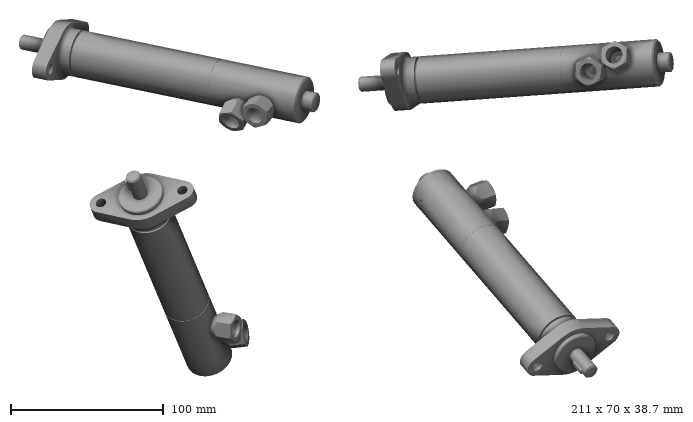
import cadquery as cq
import math


pilot_start = 19.8
flange_start = 23.0
flange_thickness = 10.0
flange_end = flange_start + flange_thickness
groove_start = 40.7
groove_width = 1.5
seam_start = 140.0
seam_width = 0.6
body_end = 202.9
overall_length = 211.0

shaft_diameter = 10.0
shaft_chamfer = 0.95
pilot_diameter = 30.0
pilot_chamfer = 0.6
body_diameter = 31.0
body_chamfer = 1.0
flange_fillet = 2.5
groove_diameter = 26.8
seam_depth = 0.2
stub_diameter = 13.0
stub_chamfer = 0.8

key_start = 3.5
key_length = 10.0
key_width = 3.0
key_top = 6.1

flange_width = 70.0
flange_centre_radius = 19.0
flange_ear_radius = 7.5
flange_hole_diameter = 7.0
ear_offset = flange_width / 2 - flange_ear_radius

fittings = [(162.3, 21.2, 20.0), (180.3, 2.5, 27.0)]
hex_sides = 6
hex_across_flats = 16.9
fitting_reach = 30.5
fitting_root = 12.7
fitting_cone_height = 18.2
fitting_cone_angle = 30.0
face_chamfer_angle = 30.0
fitting_bore_diameter = 11.5
fitting_bore_end = 17.3
fitting_throat_diameter = 6.3
fitting_throat_start = 15.8

vent_diameter = 2.7
vent_position = 191.7
vent_depth = 2.1
vent_angle = 14.0


def bar(start, end, diameter):
    """Round bar along the main axis."""
    return cq.Workplane("YZ", origin=(start, 0, 0)).circle(diameter / 2).extrude(end - start)


def ring_cut(start, width, floor_diameter):
    """Ring that cuts a square groove into the body."""
    profile = cq.Workplane("YZ", origin=(start, 0, 0)).circle(body_diameter).circle(floor_diameter / 2)
    return profile.extrude(width)


def make_shaft():
    shaft = bar(0, flange_start, shaft_diameter).faces("<X").chamfer(shaft_chamfer)
    key = (
        cq.Workplane("XY", origin=(key_start, 0, -key_width / 2))
        .rect(key_length, key_top, centered=False)
        .extrude(key_width)
    )
    return shaft.union(key)


def make_flange():
    """Rhombic flange: a large centre arc joined by tangent lines to an ear on each side."""
    lean = math.asin((flange_centre_radius - flange_ear_radius) / ear_offset)
    centre_y = flange_centre_radius * math.sin(lean)
    centre_z = flange_centre_radius * math.cos(lean)
    ear_y = ear_offset + flange_ear_radius * math.sin(lean)
    ear_z = flange_ear_radius * math.cos(lean)
    return (
        cq.Workplane("YZ", origin=(flange_start, 0, 0))
        .moveTo(-centre_y, centre_z)
        .threePointArc((0, flange_centre_radius), (centre_y, centre_z))
        .lineTo(ear_y, ear_z)
        .threePointArc((flange_width / 2, 0), (ear_y, -ear_z))
        .lineTo(centre_y, -centre_z)
        .threePointArc((0, -flange_centre_radius), (-centre_y, -centre_z))
        .lineTo(-ear_y, -ear_z)
        .threePointArc((-flange_width / 2, 0), (-ear_y, ear_z))
        .close()
        .extrude(flange_thickness)
        .faces("<X")
        .workplane(origin=(flange_start, 0, 0))
        .pushPoints([(-ear_offset, 0), (ear_offset, 0)])
        .hole(flange_hole_diameter)
    )


def make_flange_fillet():
    """Concave collar that blends the body into the back of the flange."""
    body_radius = body_diameter / 2
    bulge = flange_fillet * (1 - math.sqrt(0.5))
    return (
        cq.Workplane("XY")
        .moveTo(flange_end, 0)
        .lineTo(flange_end, body_radius + flange_fillet)
        .threePointArc(
            (flange_end + bulge, body_radius + bulge),
            (flange_end + flange_fillet, body_radius),
        )
        .lineTo(flange_end + flange_fillet, 0)
        .close()
        .revolve(360, (0, 0, 0), (1, 0, 0))
    )


def make_body():
    body = bar(flange_start, body_end, body_diameter).faces(">X").chamfer(body_chamfer)
    pilot = bar(pilot_start, flange_start, pilot_diameter).faces("<X").chamfer(pilot_chamfer)
    stub = bar(body_end, overall_length, stub_diameter).faces(">X").chamfer(stub_chamfer)
    body = body.cut(ring_cut(groove_start, groove_width, groove_diameter))
    body = body.cut(ring_cut(seam_start, seam_width, body_diameter - 2 * seam_depth))
    return body.union(pilot).union(stub)


def make_fitting(position, tilt, hex_turn):
    """Hexagonal fitting that points along -Y and is tilted down about the main axis."""
    flat_radius = hex_across_flats / 2
    corner_radius = flat_radius / math.cos(math.pi / hex_sides)
    corner_rise = corner_radius - flat_radius
    face_drop = corner_rise * math.tan(math.radians(face_chamfer_angle))
    cone_slope = math.tan(math.radians(fitting_cone_angle))
    root_radius = flat_radius - (fitting_cone_height - fitting_root) * cone_slope
    shoulder = fitting_cone_height + corner_rise / cone_slope
    bore_radius = fitting_bore_diameter / 2
    throat_radius = fitting_throat_diameter / 2

    hexagon = (
        cq.Workplane("XZ", origin=(0, -fitting_root, 0))
        .transformed(rotate=(0, 0, hex_turn))
        .polygon(hex_sides, 2 * corner_radius)
        .extrude(fitting_reach - fitting_root)
    )
    turned_envelope = (
        cq.Workplane("XY")
        .moveTo(0, -fitting_root)
        .lineTo(root_radius, -fitting_root)
        .lineTo(corner_radius, -shoulder)
        .lineTo(corner_radius, -(fitting_reach - face_drop))
        .lineTo(flat_radius, -fitting_reach)
        .lineTo(0, -fitting_reach)
        .close()
        .revolve(360, (0, 0, 0), (0, 1, 0))
    )
    bore = (
        cq.Workplane("XY")
        .moveTo(0, -fitting_root)
        .lineTo(throat_radius, -fitting_root)
        .lineTo(throat_radius, -fitting_throat_start)
        .lineTo(bore_radius, -fitting_bore_end)
        .lineTo(bore_radius, -fitting_reach)
        .lineTo(0, -fitting_reach)
        .close()
        .revolve(360, (0, 0, 0), (0, 1, 0))
    )
    fitting = hexagon.intersect(turned_envelope).cut(bore)
    return fitting.rotate((0, 0, 0), (1, 0, 0), tilt).translate((position, 0, 0))


def make_vent_cut():
    """Shallow radial drill on the +Y side, raised slightly towards +Z."""
    drill = (
        cq.Workplane("XZ", origin=(vent_position, body_diameter / 2 - vent_depth, 0))
        .circle(vent_diameter / 2)
        .extrude(-2 * vent_depth)
    )
    return drill.rotate((0, 0, 0), (1, 0, 0), vent_angle)


result = make_body().union(make_shaft()).union(make_flange()).union(make_flange_fillet())
for position, tilt, hex_turn in fittings:
    result = result.union(make_fitting(position, tilt, hex_turn))
result = result.cut(make_vent_cut())